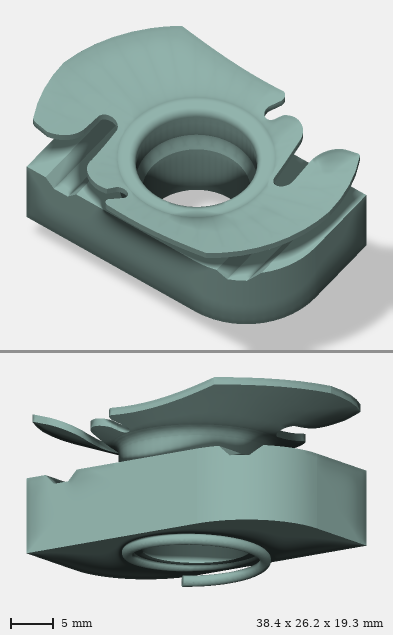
import cadquery as cq
import math

block_half_length = 17.2
block_half_width = 10.0
block_height = 9.0
corner_center_x = block_half_length - block_half_width

groove_center_x = 12.23
groove_top_width = 4.45
groove_floor_width = 2.0
groove_depth = 1.23

bore_radius = 6.35
bore_cone_height = 1.75
sleeve_bore_radius = 7.07
sleeve_outer_radius = 9.07
sleeve_straight_top = 11.42
rim_inner_radius = 8.05
rim_outer_radius = 9.2
rim_height = 13.2
rim_rounding = rim_inner_radius - sleeve_bore_radius

flange_radius = 19.22
flange_half_width = 13.1
flange_top = 16.8
flange_edge_thickness = 0.9
flange_root_radius = 9.85
flange_root_height = 12.55

wire_radius = 0.65
coil_radius = 8.05
coil_pitch = 1.85
coil_turns = 1.5
coil_end_angle = -43.0
coil_end_height = -1.8


def polar(radius, angle):
    """Point at the given radius and angle in degrees."""
    return (radius * math.cos(math.radians(angle)), radius * math.sin(math.radians(angle)))


def make_block():
    """Nut body with rounded corners at -X +Y and +X -Y."""
    diagonal = block_half_width * math.sqrt(0.5)
    block = (
        cq.Workplane("XY")
        .moveTo(-block_half_length, -block_half_width)
        .lineTo(corner_center_x, -block_half_width)
        .threePointArc((corner_center_x + diagonal, -diagonal), (block_half_length, 0))
        .lineTo(block_half_length, block_half_width)
        .lineTo(-corner_center_x, block_half_width)
        .threePointArc((-corner_center_x - diagonal, diagonal), (-block_half_length, 0))
        .close()
        .extrude(block_height)
    )
    floor = block_height - groove_depth
    for x in (-groove_center_x, groove_center_x):
        groove = (
            cq.Workplane("XZ")
            .polyline([
                (x - groove_top_width / 2, block_height),
                (x - groove_floor_width / 2, floor),
                (x + groove_floor_width / 2, floor),
                (x + groove_top_width / 2, block_height),
            ])
            .close()
            .extrude(block_half_width, both=True)
        )
        block = block.cut(groove)
    return block


def make_bore():
    """Through bore that widens by a cone, ending at the top of the block."""
    return (
        cq.Workplane("XZ")
        .polyline([
            (0, 0),
            (bore_radius, 0),
            (bore_radius, block_height - bore_cone_height),
            (sleeve_bore_radius, block_height),
            (0, block_height),
        ])
        .close()
        .revolve(360, (0, 0), (0, 1))
    )


def make_sleeve_and_cone():
    """Sleeve that flares smoothly into a full round conical flange."""
    rounding_offset = rim_rounding * (1 - math.sqrt(0.5))
    flange_rise = flange_top - flange_edge_thickness - flange_root_height
    slope_angle = math.atan2(flange_rise, flange_radius - flange_root_radius)
    return (
        cq.Workplane("XZ")
        .moveTo(sleeve_bore_radius, block_height)
        .lineTo(sleeve_outer_radius, block_height)
        .lineTo(sleeve_outer_radius, sleeve_straight_top)
        .spline(
            [(flange_root_radius, flange_root_height)],
            tangents=[(0, 1), (math.cos(slope_angle), math.sin(slope_angle))],
            includeCurrent=True,
        )
        .lineTo(flange_radius, flange_top - flange_edge_thickness)
        .lineTo(flange_radius, flange_top)
        .lineTo(rim_outer_radius, rim_height)
        .lineTo(rim_inner_radius, rim_height)
        .threePointArc(
            (sleeve_bore_radius + rounding_offset, rim_height - rounding_offset),
            (sleeve_bore_radius, rim_height - rim_rounding),
        )
        .close()
        .revolve(360, (0, 0), (0, 1))
    )


def add_half_outline(sketch, turn, edge_start, notch_shift, lobe_shift, slot_shift):
    """Add half of the flange outline; turn is 1, or -1 for the half rotated by 180 degrees.

    edge_start is where the long edge meets the side arc. Each shift moves one cutout
    before the half is turned.
    """

    def at(x, y, shift=(0, 0)):
        return (turn * (x + shift[0]), turn * (y + shift[1]))

    hook_shift = (notch_shift[0], 0)
    tip_angle = 26.4
    return (
        sketch
        .threePointArc(at(-16.45, 7.9), at(edge_start, flange_half_width))
        .lineTo(*at(2.7, flange_half_width, hook_shift))
        .threePointArc(at(3.4, 12.75, hook_shift), at(3.3, 11.92, hook_shift))
        .lineTo(*at(2.45, 10.75, notch_shift))
        .threePointArc(at(3.08, 9.45, notch_shift), at(4.23, 10.0, notch_shift))
        .lineTo(*at(4.7, 10.57, lobe_shift))
        .threePointArc(at(5.9, 10.92, lobe_shift), at(7.3, 10.55, lobe_shift))
        .threePointArc(at(8.3, 9.6, lobe_shift), at(8.7, 8.25, lobe_shift))
        .lineTo(*at(9.2, 3.0, slot_shift))
        .threePointArc(at(10.5, 1.73, slot_shift), at(11.75, 3.0, slot_shift))
        .lineTo(*at(11.75, 5.75, slot_shift))
        .threePointArc(at(12.6, 8.2, slot_shift), at(14.75, 9.23))
        .lineTo(*at(16.38, 9.23))
        .threePointArc(at(16.95, 9.05), at(*polar(flange_radius, tip_angle)))
        .threePointArc(at(*polar(flange_radius, tip_angle / 2)), at(flange_radius, 0))
    )


def make_flange_trim():
    """Prism with the outline of the flange; its two halves differ slightly."""
    unshifted = (0, 0)
    sketch = cq.Workplane("XY").workplane(offset=block_height).moveTo(-flange_radius, 0)
    sketch = add_half_outline(sketch, 1, -11.8, unshifted, unshifted, unshifted)
    sketch = add_half_outline(sketch, -1, -11.07, (0.35, -0.35), (0.3, 0.15), (0.55, -0.35))
    return sketch.close().extrude(flange_top - block_height)


def make_coil():
    """Left-handed wire coil whose upper end is buried in the block."""
    coil_height = coil_pitch * coil_turns
    path = cq.Wire.makeHelix(coil_pitch, coil_height, coil_radius, lefthand=True)
    coil = (
        cq.Workplane("XZ")
        .center(coil_radius, 0)
        .circle(wire_radius)
        .sweep(cq.Workplane(path), isFrenet=True)
    )
    return coil.rotate((0, 0, 0), (0, 0, 1), coil_end_angle).translate((0, 0, coil_end_height))


upper = make_sleeve_and_cone().intersect(make_flange_trim())
result = make_block().cut(make_bore()).union(upper).union(make_coil())